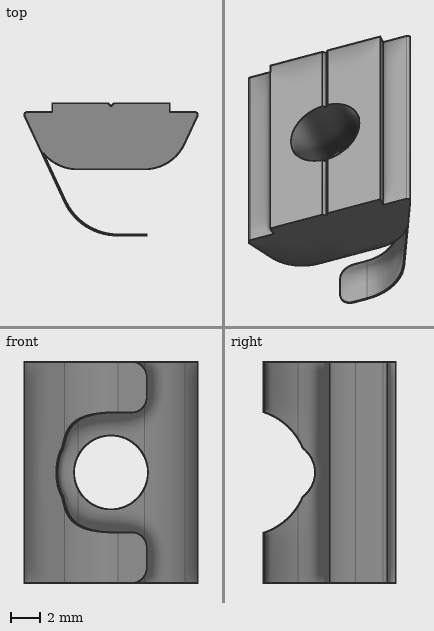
import cadquery as cq
import math

LENGTH = 15.0

RAIL_HALF_WIDTH = 4.0
SHOULDER_DEPTH = 0.6
BODY_DEPTH = 4.5
HALF_WIDTH = 6.0
FLANK_ANGLE = math.radians(25)
TIP_RADIUS = 0.2
BODY_RADIUS = 3.0
HOLE_DIAMETER = 5.0
NOTCH_DEPTH = 0.2

LEAF_DEPTH = 9.0
LEAF_THICKNESS = 0.1
LEAF_RADIUS = 4.0
LEAF_FLAT = 1.95
LEAF_CORNER_RADIUS = 1.0

WINDOW_CENTER_Y = -10.28
WINDOW_RADIUS = 4.29
RELIEF_RADIUS = 2.05
RELIEF_EDGE_Y = -5.49
RELIEF_CENTER_Y = RELIEF_EDGE_Y - RELIEF_RADIUS

SIN = math.sin(FLANK_ANGLE)
COS = math.cos(FLANK_ANGLE)
TAN = math.tan(FLANK_ANGLE)


def prism(section):
    """Extrude an XY section over the full length, centred on Z = 0."""
    return section.close().extrude(LENGTH / 2, both=True)


def bend_center(radius, depth):
    """Centre of an arc tangent to the left flank and to the plane Y = -depth."""
    y = radius - depth
    flank_x = -HALF_WIDTH - (y + SHOULDER_DEPTH) * TAN
    return flank_x + radius / COS, y


def flank_tangent(center, radius):
    """Point where an arc about the centre runs into its left flank."""
    return center[0] - radius * COS, center[1] - radius * SIN


def bend_middle(center, radius):
    """Point halfway along an arc from the left flank to its lowest point."""
    angle = (math.pi + FLANK_ANGLE + 1.5 * math.pi) / 2
    return center[0] + radius * math.cos(angle), center[1] + radius * math.sin(angle)


def mirrored(point):
    """The point reflected across the plane X = 0."""
    return -point[0], point[1]


BODY_CENTER = bend_center(BODY_RADIUS, BODY_DEPTH)
BODY_TANGENT = flank_tangent(BODY_CENTER, BODY_RADIUS)
LEAF_CENTER = bend_center(LEAF_RADIUS, LEAF_DEPTH)
LEAF_END_X = LEAF_CENTER[0] + LEAF_FLAT
LEAF_INNER_Y = LEAF_THICKNESS - LEAF_DEPTH


def make_body():
    """Nut with the rail, the marking notch along the rail and the central hole."""
    middle = bend_middle(BODY_CENTER, BODY_RADIUS)
    bottom = (BODY_CENTER[0], -BODY_DEPTH)
    section = (
        cq.Workplane("XY")
        .moveTo(-HALF_WIDTH, -SHOULDER_DEPTH)
        .lineTo(*BODY_TANGENT)
        .threePointArc(middle, bottom)
        .lineTo(*mirrored(bottom))
        .threePointArc(mirrored(middle), mirrored(BODY_TANGENT))
        .lineTo(HALF_WIDTH, -SHOULDER_DEPTH)
        .lineTo(RAIL_HALF_WIDTH, -SHOULDER_DEPTH)
        .lineTo(RAIL_HALF_WIDTH, 0)
        .lineTo(NOTCH_DEPTH, 0)
        .lineTo(0, -NOTCH_DEPTH)
        .lineTo(-NOTCH_DEPTH, 0)
        .lineTo(-RAIL_HALF_WIDTH, 0)
        .lineTo(-RAIL_HALF_WIDTH, -SHOULDER_DEPTH)
    )
    body = prism(section).edges("|Z and (<X or >X)").fillet(TIP_RADIUS)
    hole = cq.Workplane("XZ").circle(HOLE_DIAMETER / 2).extrude(BODY_DEPTH)
    return body.cut(hole)


def cross_cylinder(center_y, radius):
    """Cylinder along X, long enough to pass through the whole leaf."""
    return (
        cq.Workplane("YZ")
        .center(center_y, 0)
        .circle(radius)
        .extrude(HALF_WIDTH, both=True)
    )


def make_tip_corners():
    """Waste outside the rounded corners at the free ends of the two leaf arms."""
    arm_inner_z = math.sqrt(WINDOW_RADIUS**2 - (LEAF_INNER_Y - WINDOW_CENTER_Y) ** 2)
    arm_width = LENGTH / 2 - arm_inner_z
    arm_middle_z = (LENGTH / 2 + arm_inner_z) / 2
    height = 4 * LEAF_THICKNESS
    corners = cq.Workplane("XY").box(LEAF_CORNER_RADIUS, height, LENGTH)
    corners = corners.translate((LEAF_END_X - LEAF_CORNER_RADIUS / 2, LEAF_INNER_Y, 0))
    for side in (-1, 1):
        arm_end = cq.Workplane("XY").box(arm_width, height, arm_width)
        arm_end = arm_end.edges("|Y and >X").fillet(LEAF_CORNER_RADIUS)
        arm_end_x = LEAF_END_X - arm_width / 2
        corners = corners.cut(arm_end.translate((arm_end_x, LEAF_INNER_Y, side * arm_middle_z)))
    return corners


def make_leaf():
    """Bent leaf with the window and relief cut away and the arm ends rounded."""
    inner_radius = LEAF_RADIUS - LEAF_THICKNESS
    inner_start = (BODY_TANGENT[0] + LEAF_THICKNESS * COS, BODY_TANGENT[1] + LEAF_THICKNESS * SIN)
    section = (
        cq.Workplane("XY")
        .moveTo(*BODY_TANGENT)
        .lineTo(*flank_tangent(LEAF_CENTER, LEAF_RADIUS))
        .threePointArc(bend_middle(LEAF_CENTER, LEAF_RADIUS), (LEAF_CENTER[0], -LEAF_DEPTH))
        .lineTo(LEAF_END_X, -LEAF_DEPTH)
        .lineTo(LEAF_END_X, LEAF_INNER_Y)
        .lineTo(LEAF_CENTER[0], LEAF_INNER_Y)
        .threePointArc(
            bend_middle(LEAF_CENTER, inner_radius),
            flank_tangent(LEAF_CENTER, inner_radius),
        )
        .lineTo(*inner_start)
    )
    leaf = prism(section)
    leaf = leaf.cut(cross_cylinder(WINDOW_CENTER_Y, WINDOW_RADIUS))
    leaf = leaf.cut(cross_cylinder(RELIEF_CENTER_Y, RELIEF_RADIUS))
    return leaf.cut(make_tip_corners())


result = make_body().union(make_leaf())